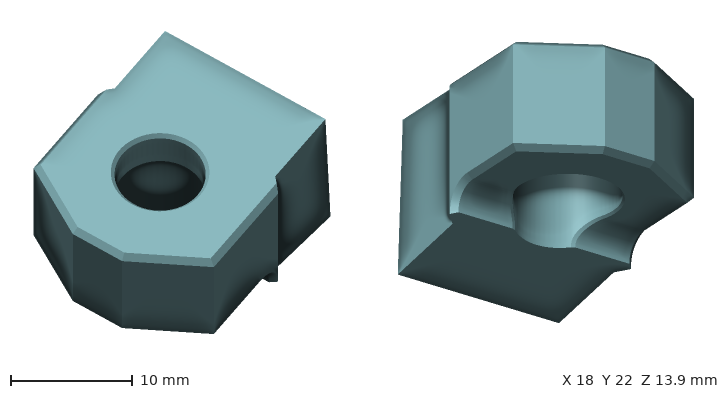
import cadquery as cq
import math

length = 22.0
height = 13.85
half_width = 9.0

half_neck = 8.0
half_front_flat = 2.46
front_facet_angle = 30.0
shoulder_side_end = 13.05
facet_depth = (half_width - half_front_flat) * math.tan(math.radians(front_facet_angle))
neck_start = shoulder_side_end + half_width - half_neck

back_tilt = 3.0
underside_slope = 10.0
floor_depth = 10.0
step_y = 12.45
step_radius = 2.0
edge_chamfer = 0.5
step_bottom = -height + (length - step_y) * math.tan(math.radians(underside_slope))

hole_y = 9.02
hole_radius = 3.75
hole_chamfer = 0.3
counterbore_top = 3.35
counterbore_radius = 4.5
counterbore_chamfer = 0.2

TOLERANCE = 0.002


def side_profile_body():
    """Block with a tilted back, a sloping underside and a raised front floor."""
    back_top_y = length - height * math.tan(math.radians(back_tilt))
    arc_center_y = step_y - step_radius
    arc_center_z = -floor_depth - step_radius
    arc_offset = step_radius * math.sqrt(0.5)
    return (
        cq.Workplane("YZ")
        .moveTo(0, 0)
        .lineTo(back_top_y, 0)
        .lineTo(length, -height)
        .lineTo(step_y, step_bottom)
        .lineTo(step_y, arc_center_z)
        .threePointArc(
            (arc_center_y + arc_offset, arc_center_z + arc_offset),
            (arc_center_y, -floor_depth),
        )
        .lineTo(0, -floor_depth)
        .close()
        .extrude(half_width, both=True)
    )


def plan_prism():
    """Prism with a faceted nose and a narrower neck behind the shoulders."""
    right_side = [
        (half_front_flat, 0),
        (half_width, facet_depth),
        (half_width, shoulder_side_end),
        (half_neck, neck_start),
        (half_neck, length),
    ]
    left_side = [(-x, y) for x, y in reversed(right_side)]
    return cq.Workplane("XY").polyline(right_side + left_side).close().extrude(-height)


def hole_cutter():
    """Revolved hole: chamfered mouth, bore and wider counterbore."""
    half_section = [
        (0, 0),
        (hole_radius + hole_chamfer, 0),
        (hole_radius, -hole_chamfer),
        (hole_radius, -counterbore_top),
        (counterbore_radius, -counterbore_top),
        (counterbore_radius, -height),
        (0, -height),
    ]
    cutter = cq.Workplane("XZ").polyline(half_section).close().revolve(360, (0, 0), (0, 1))
    return cutter.translate((0, hole_y, 0))


def edges_between(low, high):
    """Selector for edges whose centres lie between two corner points."""
    return cq.selectors.BoxSelector(low, high)


def chamfer_outer_edges(body):
    """Chamfer the nose and shoulder edges on the top, floor and step."""
    reach = half_width + TOLERANCE
    arc_start = step_y - step_radius
    top_edges = edges_between(
        (-reach, -TOLERANCE, -TOLERANCE),
        (reach, shoulder_side_end - TOLERANCE, TOLERANCE),
    )
    floor_edges = edges_between(
        (-reach, -TOLERANCE, -floor_depth - TOLERANCE),
        (reach, arc_start - TOLERANCE, -floor_depth + TOLERANCE),
    )
    step_edges = edges_between(
        (-reach, arc_start, step_bottom + TOLERANCE),
        (reach, step_y + TOLERANCE, -floor_depth - TOLERANCE),
    )
    across = cq.selectors.ParallelDirSelector(cq.Vector(1, 0, 0))
    body = body.edges(top_edges).chamfer(edge_chamfer)
    return body.edges(floor_edges + (step_edges - across)).chamfer(edge_chamfer)


def chamfer_counterbore_mouth(body):
    """Chamfer where the counterbore opens through the floor and the step."""
    reach = counterbore_radius + TOLERANCE
    mouth_edges = edges_between(
        (-reach, hole_y - reach, step_bottom),
        (reach, step_y + TOLERANCE, -floor_depth + TOLERANCE),
    )
    return body.edges(mouth_edges).chamfer(counterbore_chamfer)


body = side_profile_body().intersect(plan_prism())
body = chamfer_outer_edges(body)
body = body.cut(hole_cutter())
result = chamfer_counterbore_mouth(body)